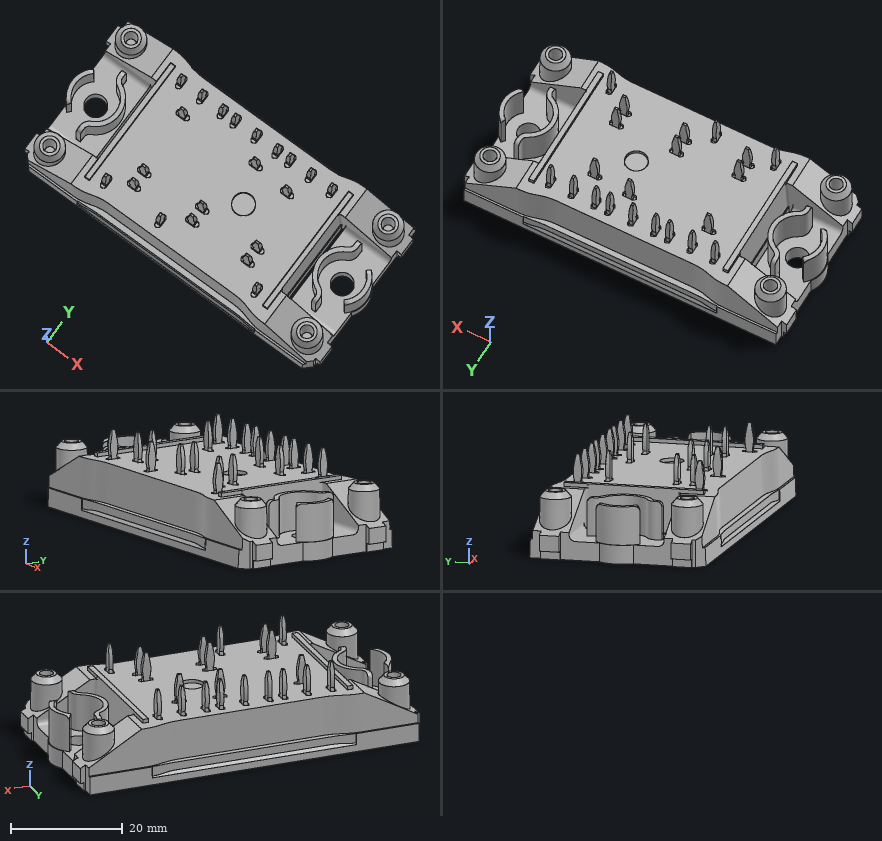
import cadquery as cq
import math

LENGTH = 66.0
WIDTH = 32.5
PIN_TOP = 16.25
BODY_LENGTH = 63.95
PLATE_TOP = 3.5
DECK_TOP = 10.9
CLEAR = 3.3

DRAFT = 2.0
SHOULDER_HALF_WIDTH = 15.7
WAIST_HALF_WIDTH = 14.6
WAVE_CENTRE = 17.5
HOUSING_WAVE_SPAN = 7.0
DECK_HALF_LENGTH = 21.65
SLOPE_END_HEIGHT = 5.1
CORNER_CHAMFER = 1.5

POCKET_END_HALF_WIDTH = 16.0
POCKET_HALF_WIDTH = 15.7
POCKET_WAVE_SPAN = 4.6
POCKET_FLOOR = 1.4
POCKET_FLOOR_RISE = 0.6

BAY_HALF_WIDTH = 8.85
BAY_FILLET = 1.2
SLOT_OUTER_X = 21.8
SLOT_FOOT_X = 21.6
SLOT_INNER_X = 21.0
WALL_FOOT_X = 20.8
DECK_EDGE_X = 20.4
SLOT_CORNER_RADIUS = 0.45

SCREW_X = 27.5
SCREW_DIAMETER = 4.3
CLIP_TOP = 10.55
CLIP_WALL = 0.9
CLIP_RADIUS = 4.9
CLIP_CORNER = 1.0
OUTER_CLIP_ANGLE = 49.5
HOOK_RADIUS = 1.65
HOOK_OFFSET = 1.25
HOOK_END_Y = 7.0
SKIRT_RADIUS = LENGTH / 2 - SCREW_X

POST_X = 28.7
POST_Y = 12.3
POST_ROOT_Z = 3.3
POST_ROOT_RADIUS = 2.9
POST_SHOULDER_RADIUS = 2.85
POST_SHOULDER_Z = DECK_TOP
POST_TIP_RADIUS = 1.85
POST_TOP = 12.0
BORE_RADIUS = 1.25
BORE_END_RADIUS = 1.0
BORE_DEPTH = 5.3

TAB_WIDTH = 3.6
TAB_FOOT_HEIGHT = 1.6
TAB_FOOT_PROJECTION = 0.3

RIB_WIDTH = 1.05
RIB_LENGTH = 26.0
RIB_HEIGHT = 0.7
DIMPLE_X = 5.5
DIMPLE_DIAMETER = 4.3
DIMPLE_DEPTH = 0.65

PIN_WELL_LENGTH = 2.7
PIN_WELL_WIDTH = 1.1
PIN_WELL_DEPTH = 0.65
PIN_THICKNESS = 0.8
PIN_TIP_THICKNESS = 0.4
PIN_TAPER_Z = 15.1
PIN_FOOT_HALF_WIDTH = 0.65
PIN_NECK = (0.6, 11.35)
PIN_BULGE = (0.8, 12.7)
PIN_SHOULDER = (0.7, 14.05)
PIN_HEAD = (0.6, 14.7)
PIN_TAPER = (0.5, PIN_TAPER_Z)
PIN_TIP = (0.3, PIN_TOP)
BACK_ROW_Y = 11.35
BACK_ROW_X = [-16.8, -12.15, -7.5, -4.7, 0, 4.7, 7.5, 12.15, 16.8]
FRONT_ROW_X = [-16.8, -4.7, 16.8]
PINS_ALONG_Y = [(x, BACK_ROW_Y) for x in BACK_ROW_X] + [(x, -BACK_ROW_Y) for x in FRONT_ROW_X]
PINS_ALONG_X = [
    (-13.0, 6.65), (3.0, 7.05), (10.55, 6.3),
    (-12.35, -5.9), (-12.35, -9.0),
    (0, -5.1), (0, -8.05), (12.35, -5.1), (12.35, -8.05),
]


def both_ends(shape):
    """Shape together with its mirror image across the YZ plane."""
    return shape.union(shape.mirror("YZ"))


def four_corners(shape):
    """Shape at the -X, -Y corner repeated at all four corners."""
    return both_ends(shape.union(shape.mirror("XZ")))


def waisted_outline(z, end_half_width, waist_half_width, wave_span):
    """Plan outline whose long sides step inwards at mid length through S curves."""
    far_x = BODY_LENGTH / 2 + CLEAR
    outer_x = WAVE_CENTRE + wave_span / 2
    inner_x = WAVE_CENTRE - wave_span / 2
    mid_half_width = (end_half_width + waist_half_width) / 2
    outline = cq.Workplane("XY").workplane(offset=z).moveTo(-far_x, -end_half_width)
    for side in (1, -1):
        outline = (
            outline.lineTo(-side * outer_x, -side * end_half_width)
            .tangentArcPoint((-side * WAVE_CENTRE, -side * mid_half_width), relative=False)
            .tangentArcPoint((-side * inner_x, -side * waist_half_width), relative=False)
            .lineTo(side * inner_x, -side * waist_half_width)
            .tangentArcPoint((side * WAVE_CENTRE, -side * mid_half_width), relative=False)
            .tangentArcPoint((side * outer_x, -side * end_half_width), relative=False)
            .lineTo(side * far_x, -side * end_half_width)
            .lineTo(side * far_x, side * end_half_width)
        )
    return outline.close()


def side_profile():
    """Solid bounded by the end faces, the end slopes and the deck."""
    half = BODY_LENGTH / 2
    return (
        cq.Workplane("XZ")
        .polyline([
            (-half, 0), (half, 0), (half, SLOPE_END_HEIGHT), (DECK_HALF_LENGTH, DECK_TOP),
            (-DECK_HALF_LENGTH, DECK_TOP), (-half, SLOPE_END_HEIGHT),
        ])
        .close()
        .extrude(WIDTH, both=True)
    )


def base_plate():
    """Drafted plate with a shallow waisted pocket along each long side."""
    plate = (
        cq.Workplane("XY")
        .rect(BODY_LENGTH + 2 * CLEAR, WIDTH)
        .extrude(PLATE_TOP, taper=DRAFT)
    )
    edge_half_width = WIDTH / 2 - PLATE_TOP / 2 * math.tan(math.radians(DRAFT))
    core = waisted_outline(
        0, POCKET_END_HALF_WIDTH, POCKET_HALF_WIDTH, POCKET_WAVE_SPAN
    ).extrude(PLATE_TOP)
    pocket_half_length = WAVE_CENTRE + POCKET_WAVE_SPAN / 2
    band = (
        cq.Workplane("YZ")
        .polyline([
            (edge_half_width, POCKET_FLOOR),
            (POCKET_HALF_WIDTH, POCKET_FLOOR + POCKET_FLOOR_RISE),
            (POCKET_HALF_WIDTH, PLATE_TOP),
            (WIDTH, PLATE_TOP),
            (WIDTH, POCKET_FLOOR),
        ])
        .close()
        .extrude(pocket_half_length, both=True)
        .cut(core)
    )
    return plate.cut(band).cut(band.mirror("XZ"))


def housing():
    """Plate and waisted upper body, sloped at the ends, with two cut corners."""
    upper = waisted_outline(
        PLATE_TOP, SHOULDER_HALF_WIDTH, WAIST_HALF_WIDTH, HOUSING_WAVE_SPAN
    ).extrude(DECK_TOP - PLATE_TOP, taper=DRAFT)
    corner_cut = (
        cq.Workplane("XY")
        .polyline([
            (-BODY_LENGTH / 2 - CLEAR, -WIDTH / 2 + CORNER_CHAMFER + CLEAR),
            (-BODY_LENGTH / 2 - CLEAR, -WIDTH / 2 - CLEAR),
            (-BODY_LENGTH / 2 + CORNER_CHAMFER + CLEAR, -WIDTH / 2 - CLEAR),
        ])
        .close()
        .extrude(DECK_TOP)
    )
    return base_plate().union(upper).intersect(side_profile()).cut(both_ends(corner_cut))


def end_bay():
    """Cutter for the -X bay and for the slot behind it."""
    bay_length = BODY_LENGTH / 2 + CLEAR - SLOT_OUTER_X
    bay = (
        cq.Workplane("XY")
        .workplane(offset=PLATE_TOP)
        .center(-SLOT_OUTER_X - bay_length / 2, 0)
        .rect(bay_length, 2 * BAY_HALF_WIDTH)
        .extrude(DECK_TOP + CLEAR - PLATE_TOP)
        .edges("|X and <Z")
        .fillet(BAY_FILLET)
    )
    wall_lean = (WALL_FOOT_X - DECK_EDGE_X) / (DECK_TOP - PLATE_TOP)
    rib_top = DECK_TOP + RIB_HEIGHT
    rib_top_x = DECK_EDGE_X - wall_lean * RIB_HEIGHT
    wall_middle = (-(WALL_FOOT_X + rib_top_x) / 2, 0, (PLATE_TOP + rib_top) / 2)
    slot = (
        cq.Workplane("XZ")
        .polyline([
            (-SLOT_FOOT_X, 0), (-SLOT_INNER_X, 0),
            (-SLOT_INNER_X, PLATE_TOP), (-WALL_FOOT_X, PLATE_TOP),
            (-rib_top_x, rib_top), (-SLOT_OUTER_X, rib_top), (-SLOT_OUTER_X, PLATE_TOP),
        ])
        .close()
        .extrude(BAY_HALF_WIDTH, both=True)
        .faces(cq.selectors.NearestToPointSelector(wall_middle))
        .edges("not |Y")
        .fillet(SLOT_CORNER_RADIUS)
    )
    return bay.union(slot)


def polar(radius, angle):
    """Point at an angle in degrees about the -X screw axis."""
    turn = math.radians(angle)
    return (-SCREW_X + radius * math.cos(turn), radius * math.sin(turn))


def rounded_top(half_width):
    """Trim shape that rounds the two upper corners of a clip wall."""
    return (
        cq.Workplane("XY")
        .rect(2 * LENGTH, 2 * half_width)
        .extrude(CLIP_TOP)
        .edges("|X and >Z")
        .fillet(CLIP_CORNER)
    )


def outer_clip():
    """Curved wall at the -X edge, with its skirt down the end face."""
    outer_radius = CLIP_RADIUS + CLIP_WALL / 2
    inner_radius = CLIP_RADIUS - CLIP_WALL / 2
    start = 180 - OUTER_CLIP_ANGLE
    stop = 180 + OUTER_CLIP_ANGLE
    wall = (
        cq.Workplane("XY")
        .workplane(offset=PLATE_TOP)
        .moveTo(*polar(outer_radius, start))
        .threePointArc(polar(outer_radius, 180), polar(outer_radius, stop))
        .lineTo(*polar(inner_radius, stop))
        .threePointArc(polar(inner_radius, 180), polar(inner_radius, start))
        .close()
        .extrude(CLIP_TOP - PLATE_TOP)
        .intersect(rounded_top(polar(outer_radius, start)[1]))
    )
    skirt_start = 180 - math.degrees(math.acos((BODY_LENGTH / 2 - SCREW_X) / SKIRT_RADIUS))
    skirt = (
        cq.Workplane("XY")
        .moveTo(*polar(SKIRT_RADIUS, skirt_start))
        .threePointArc(polar(SKIRT_RADIUS, 180), polar(SKIRT_RADIUS, -skirt_start))
        .close()
        .extrude(PLATE_TOP)
    )
    return wall.union(skirt)


def inner_clip():
    """Curved wall around the screw with hooked-back straight ends."""
    reach = CLIP_RADIUS + HOOK_RADIUS
    turn = math.degrees(math.acos((HOOK_OFFSET + HOOK_RADIUS) / reach))
    hook_x, hook_y = polar(reach, turn)

    def hook_point(radius, angle):
        swing = math.radians(angle)
        return (hook_x + radius * math.cos(swing), hook_y + radius * math.sin(swing))

    def mirrored(point):
        return (point[0], -point[1])

    far = CLIP_RADIUS + CLIP_WALL / 2
    near = CLIP_RADIUS - CLIP_WALL / 2
    far_hook = HOOK_RADIUS - CLIP_WALL / 2
    near_hook = HOOK_RADIUS + CLIP_WALL / 2
    middle = 180 + turn / 2
    wall = (
        cq.Workplane("XY")
        .workplane(offset=PLATE_TOP)
        .moveTo(hook_x - far_hook, -HOOK_END_Y)
        .lineTo(hook_x - far_hook, -hook_y)
        .threePointArc(mirrored(hook_point(far_hook, middle)), polar(far, -turn))
        .threePointArc(polar(far, 0), polar(far, turn))
        .threePointArc(hook_point(far_hook, middle), hook_point(far_hook, 180))
        .lineTo(hook_x - far_hook, HOOK_END_Y)
        .lineTo(hook_x - near_hook, HOOK_END_Y)
        .lineTo(hook_x - near_hook, hook_y)
        .threePointArc(hook_point(near_hook, middle), polar(near, turn))
        .threePointArc(polar(near, 0), polar(near, -turn))
        .threePointArc(mirrored(hook_point(near_hook, middle)), mirrored(hook_point(near_hook, 180)))
        .lineTo(hook_x - near_hook, -HOOK_END_Y)
        .close()
        .extrude(CLIP_TOP - PLATE_TOP)
    )
    return wall.intersect(rounded_top(HOOK_END_Y))


def turned(profile):
    """Solid of revolution from (radius, height) points, on the -X, -Y post axis."""
    return (
        cq.Workplane("XZ")
        .polyline(profile)
        .close()
        .revolve(360, (0, 0), (0, 1))
        .translate((-POST_X, -POST_Y, 0))
    )


def post():
    """Slightly tapered corner post with a coned top."""
    return turned([
        (0, POST_ROOT_Z),
        (POST_ROOT_RADIUS, POST_ROOT_Z),
        (POST_SHOULDER_RADIUS, POST_SHOULDER_Z),
        (POST_TIP_RADIUS, POST_TOP),
        (0, POST_TOP),
    ])


def post_bore():
    """Tapered blind bore down a post."""
    return turned([
        (0, POST_TOP - BORE_DEPTH),
        (BORE_END_RADIUS, POST_TOP - BORE_DEPTH),
        (BORE_RADIUS, POST_TOP),
        (0, POST_TOP),
    ])


def end_tab():
    """Tab on the end face; its top carries on the end slope above a stepped foot."""
    inner_x = -BODY_LENGTH / 2
    outer_x = -LENGTH / 2
    gradient = (DECK_TOP - SLOPE_END_HEIGHT) / (BODY_LENGTH / 2 - DECK_HALF_LENGTH)
    outer_height = SLOPE_END_HEIGHT - gradient * (inner_x - outer_x)
    return (
        cq.Workplane("XZ")
        .polyline([
            (inner_x, 0),
            (inner_x - TAB_FOOT_PROJECTION, 0),
            (inner_x - TAB_FOOT_PROJECTION, TAB_FOOT_HEIGHT),
            (outer_x, TAB_FOOT_HEIGHT),
            (outer_x, outer_height),
            (inner_x, SLOPE_END_HEIGHT),
        ])
        .close()
        .extrude(TAB_WIDTH / 2, both=True)
        .translate((0, -POST_Y, 0))
    )


def pin():
    """Flat contact blade, wide along X, thinned towards its tip."""
    blade_half = (
        cq.Workplane("XZ")
        .moveTo(0, DECK_TOP - PIN_WELL_DEPTH)
        .lineTo(PIN_FOOT_HALF_WIDTH, DECK_TOP - PIN_WELL_DEPTH)
        .lineTo(PIN_FOOT_HALF_WIDTH, DECK_TOP)
        .lineTo(*PIN_NECK)
        .threePointArc(PIN_BULGE, PIN_SHOULDER)
        .lineTo(*PIN_HEAD)
        .lineTo(*PIN_TAPER)
        .lineTo(*PIN_TIP)
        .lineTo(0, PIN_TOP)
        .close()
        .extrude(PIN_THICKNESS, both=True)
    )
    blade = both_ends(blade_half)
    half = PIN_THICKNESS / 2
    half_tip = PIN_TIP_THICKNESS / 2
    section = (
        cq.Workplane("YZ")
        .polyline([
            (-half, 0), (half, 0), (half, PIN_TAPER_Z),
            (half_tip, PIN_TOP), (-half_tip, PIN_TOP), (-half, PIN_TAPER_Z),
        ])
        .close()
        .extrude(PIN_WELL_LENGTH, both=True)
    )
    return blade.intersect(section)


def add_pins(body, places, angle):
    """Sink a rounded well at each place and stand a pin in it."""
    deck = cq.Workplane("XY").workplane(offset=DECK_TOP).pushPoints(places)
    wells = deck.slot2D(PIN_WELL_LENGTH, PIN_WELL_WIDTH, angle).extrude(-PIN_WELL_DEPTH)
    body = body.cut(wells)
    blade = pin().rotate((0, 0, 0), (0, 0, 1), angle)
    for x, y in places:
        body = body.union(blade.translate((x, y, 0)))
    return body


rib = (
    cq.Workplane("XY")
    .workplane(offset=DECK_TOP)
    .center(-DECK_EDGE_X + RIB_WIDTH / 2, 0)
    .rect(RIB_WIDTH, RIB_LENGTH)
    .extrude(RIB_HEIGHT)
)
body = housing().union(both_ends(rib)).cut(both_ends(end_bay()))

body = body.union(four_corners(end_tab()))
body = body.union(four_corners(post())).cut(four_corners(post_bore()))
body = body.union(both_ends(outer_clip()))
body = body.union(both_ends(inner_clip()))

screw_hole = cq.Workplane("XY").center(-SCREW_X, 0).circle(SCREW_DIAMETER / 2).extrude(PLATE_TOP)
body = body.cut(both_ends(screw_hole))

dimple = (
    cq.Workplane("XY")
    .workplane(offset=DECK_TOP)
    .center(DIMPLE_X, 0)
    .circle(DIMPLE_DIAMETER / 2)
    .extrude(-DIMPLE_DEPTH)
)
body = body.cut(dimple)

body = add_pins(body, PINS_ALONG_Y, 90)
result = add_pins(body, PINS_ALONG_X, 0)